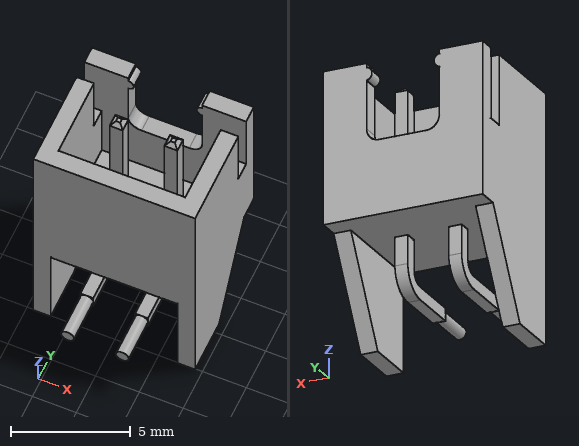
import cadquery as cq
import math


width = 7.4
depth = 6.1
height = 11.5
wall = 0.8
floor_bottom = 4.5
floor_thickness = wall
leg_foot_depth = 2.5
leg_shoulder_depth = 5.1

side_slot_depth = 3.22
window_width = 3.37
window_depth = 3.6
window_corner_radius = 0.6
bump_radius = 0.3
bump_projection = 0.25
bump_drop = 0.5

pin_size = 0.6
pin_pitch = 2.5
pin_y = 3.35
pin_top = 11.29
pin_tip_size = 0.2
pin_tip_height = 0.2
tail_z = 2.3
tail_length = 2.0
bend_inner_radius = 0.6


def block(x_size, y_start, y_end, z_start, z_end):
    """Box centred on X = 0 between the given Y and Z limits."""
    return cq.Workplane("XY").box(
        x_size, y_end - y_start, z_end - z_start, centered=(True, False, False)
    ).translate((0, y_start, z_start))


def make_shell():
    """Side profile across the full width, hollowed above and below the floor."""
    profile = [
        (0, 0),
        (leg_foot_depth, 0),
        (leg_shoulder_depth, floor_bottom),
        (depth, floor_bottom),
        (depth, height),
        (0, height),
    ]
    shell = cq.Workplane("YZ").polyline(profile).close().extrude(width / 2, both=True)
    inner_width = width - 2 * wall
    cavity = block(inner_width, wall, depth - wall, floor_bottom + floor_thickness, height)
    leg_gap = block(inner_width, 0, depth, 0, floor_bottom)
    return shell.cut(cavity).cut(leg_gap)


def cut_latch_openings(shell):
    """Side slots and the round-cornered window in the latch wall."""
    slot_front = depth - 2 * wall
    side_slots = block(width, slot_front, depth - wall, height - side_slot_depth, height)
    window = block(window_width, depth - wall, depth, height - window_depth, height)
    window = window.edges("|Y and <Z").fillet(window_corner_radius)
    return shell.cut(side_slots).cut(window)


def make_bump(side):
    """Rounded latch ridge projecting into the window from one side."""
    centre_x = window_width / 2 + bump_radius - bump_projection
    return (
        cq.Workplane("XZ", origin=(0, depth, 0))
        .center(side * centre_x, height - bump_drop)
        .circle(bump_radius)
        .extrude(wall)
    )


def make_pin(x):
    """Square pin bent forward into a round tail, with a tapered top."""
    half = pin_size / 2
    shoulder_z = pin_top - pin_tip_height
    outer_radius = bend_inner_radius + pin_size
    bend_y = pin_y + half - outer_radius
    bend_z = tail_z - half + outer_radius
    diagonal = math.sqrt(0.5)
    bent_bar = (
        cq.Workplane("YZ")
        .moveTo(0, tail_z - half)
        .lineTo(bend_y, tail_z - half)
        .threePointArc(
            (bend_y + outer_radius * diagonal, bend_z - outer_radius * diagonal),
            (pin_y + half, bend_z),
        )
        .lineTo(pin_y + half, shoulder_z)
        .lineTo(pin_y - half, shoulder_z)
        .lineTo(pin_y - half, bend_z)
        .threePointArc(
            (bend_y + bend_inner_radius * diagonal, bend_z - bend_inner_radius * diagonal),
            (bend_y, tail_z + half),
        )
        .lineTo(0, tail_z + half)
        .close()
        .extrude(half, both=True)
    )
    tip = (
        cq.Workplane("XY", origin=(0, pin_y, shoulder_z))
        .rect(pin_size, pin_size)
        .workplane(offset=pin_tip_height)
        .rect(pin_tip_size, pin_tip_size)
        .loft(ruled=True)
    )
    tail = cq.Workplane("XZ", origin=(0, 0, tail_z)).circle(half).extrude(tail_length)
    return bent_bar.union(tip).union(tail).translate((x, 0, 0))


result = cut_latch_openings(make_shell())
for side in (-1, 1):
    result = result.union(make_bump(side))
    result = result.union(make_pin(side * pin_pitch / 2))